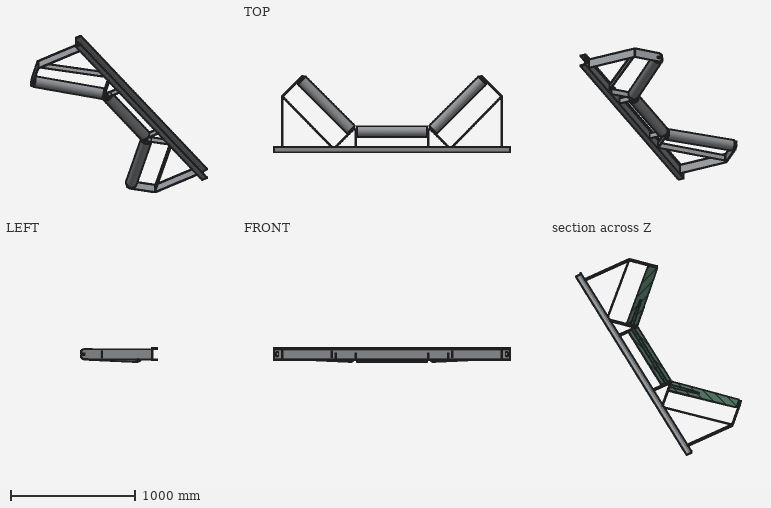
import cadquery as cq
import math

CHANNEL_LENGTH = 1900.0
CHANNEL_HEIGHT = 100.0
CHANNEL_WIDTH = 45.0
WEB_THICKNESS = 5.0
FLANGE_THICKNESS = 10.0
ROOT_RADIUS = 10.0
TIP_RADIUS = 4.0
MOUNT_SLOT_WIDTH = 17.0
MOUNT_SLOT_HEIGHT = 36.0
MOUNT_SLOT_INSET = 27.0

ROLLER_LENGTH = 570.0
ROLLER_DIAMETER = 90.0
ROLLER_CHAMFER = 5.0
SHAFT_DIAMETER = 17.0
MIDDLE_END_GAP = 4.0
SIDE_INNER_GAP = 4.0
FORWARD_TILT = 1.9
MIDDLE_AXIS_Y = 122.0
MIDDLE_AXIS_Z = -19.0
SIDE_OUTER_Y = 547.0

WIDE_BAR_THICKNESS = 8.0
WIDE_BAR_HEIGHT = 80.0
BEND_RADIUS = 10.0
TIP_CHAMFER_ALONG = 25.0
TIP_CHAMFER_Z = 17.0
OUTER_POST_X = -882.0
OUTER_POST_Y = 405.0
ARM_TIP_Y = 570.0

NARROW_BAR_THICKNESS = 5.0
NARROW_BAR_HEIGHT = 50.0
STRUT_FOOT_X = -483.0
INNER_PEAK_Y = 146.0
BRIDGE_DROP = 13.0

FOOT_Y = -WEB_THICKNESS / 2
INNER_POST_X = -(ROLLER_LENGTH / 2 + MIDDLE_END_GAP + NARROW_BAR_THICKNESS / 2)
INNER_PEAK_X = INNER_POST_X - BRIDGE_DROP
ARM_OFFSET = OUTER_POST_Y - OUTER_POST_X
LEG_OFFSET = INNER_PEAK_Y - INNER_PEAK_X
SIDE_SPAN = (ARM_OFFSET - LEG_OFFSET) / math.sqrt(2)

MIDDLE_SHAFT_LENGTH = ROLLER_LENGTH + 2 * (MIDDLE_END_GAP + NARROW_BAR_THICKNESS)
SIDE_SHAFT_LENGTH = SIDE_SPAN + (WIDE_BAR_THICKNESS + NARROW_BAR_THICKNESS) / 2

MIDDLE_AXIS = cq.Vector(1, 0, 0)
MIDDLE_START = cq.Vector(-MIDDLE_SHAFT_LENGTH / 2, MIDDLE_AXIS_Y, MIDDLE_AXIS_Z)
MIDDLE_ROLLER_INSET = MIDDLE_END_GAP + NARROW_BAR_THICKNESS

TILT = math.radians(FORWARD_TILT)
PLAN_STEP = math.cos(TILT) / math.sqrt(2)
SIDE_AXIS = cq.Vector(PLAN_STEP, -PLAN_STEP, -math.sin(TILT))
SIDE_ARM_POINT = cq.Vector(SIDE_OUTER_Y - ARM_OFFSET, SIDE_OUTER_Y, 0)
SIDE_START = SIDE_ARM_POINT - SIDE_AXIS * (WIDE_BAR_THICKNESS / 2)
SIDE_ROLLER_INSET = SIDE_SHAFT_LENGTH - ROLLER_LENGTH - SIDE_INNER_GAP - NARROW_BAR_THICKNESS


def mirrored(shape):
    """Copy of a left-hand shape on the right-hand side."""
    return shape.mirror("YZ")


def round_bar(start, axis, length, diameter):
    """Cylinder running from a point along an axis."""
    plane = cq.Plane(origin=start.toTuple(), xDir=(0, 0, 1), normal=axis.toTuple())
    return cq.Workplane(plane).circle(diameter / 2).extrude(length)


def flat_bar(path, thickness, height):
    """Upright flat bar with square ends, folded along a plan path and centred on Z = 0."""
    points = [cq.Vector(x, y, 0) for x, y in path]
    runs = [(end - start).normalized() for start, end in zip(points, points[1:])]
    normals = [cq.Vector(-run.y, run.x, 0) for run in runs]
    left_side = []
    right_side = []
    for point, before, after in zip(points, normals[:1] + normals, normals + normals[-1:]):
        mitre = (before + after) * (thickness / 2 / (1 + before.dot(after)))
        left_side.append((point + mitre).toTuple())
        right_side.append((point - mitre).toTuple())
    outline = cq.Workplane("XY").polyline(left_side + right_side[::-1]).close()
    return outline.extrude(height / 2, both=True)


def make_channel():
    inner_y = -WEB_THICKNESS
    inner_z = CHANNEL_HEIGHT / 2 - FLANGE_THICKNESS
    channel = (
        cq.Workplane("XY")
        .box(CHANNEL_LENGTH, CHANNEL_WIDTH, CHANNEL_HEIGHT)
        .translate((0, -CHANNEL_WIDTH / 2, 0))
    )
    hollow = (
        cq.Workplane("XY")
        .box(CHANNEL_LENGTH, CHANNEL_WIDTH, 2 * inner_z)
        .translate((0, inner_y - CHANNEL_WIDTH / 2, 0))
        .edges("|X and >Y")
        .fillet(ROOT_RADIUS)
    )
    channel = channel.cut(hollow)
    for z in (-inner_z, inner_z):
        tip = cq.selectors.NearestToPointSelector((0, -CHANNEL_WIDTH, z))
        channel = channel.edges(tip).fillet(TIP_RADIUS)
    slot_x = CHANNEL_LENGTH / 2 - MOUNT_SLOT_INSET
    slots = (
        cq.Workplane("XZ")
        .pushPoints([(-slot_x, 0), (slot_x, 0)])
        .slot2D(MOUNT_SLOT_HEIGHT, MOUNT_SLOT_WIDTH, 90)
        .extrude(WEB_THICKNESS)
    )
    return channel.cut(slots)


def make_outer_bracket():
    """Left post folded into a 45 degree arm with a chamfered slotted tip, and its strut."""
    bend = (OUTER_POST_X, OUTER_POST_Y)
    arm_rise = ARM_TIP_Y - OUTER_POST_Y
    tip = (OUTER_POST_X + arm_rise, ARM_TIP_Y)
    bracket = flat_bar([(OUTER_POST_X, FOOT_Y), bend, tip], WIDE_BAR_THICKNESS, WIDE_BAR_HEIGHT)
    for side, radius in ((1, BEND_RADIUS), (-1, BEND_RADIUS + WIDE_BAR_THICKNESS)):
        corner = cq.selectors.NearestToPointSelector((bend[0] + side * WIDE_BAR_THICKNESS / 2, bend[1], 0))
        bracket = bracket.edges("|Z").edges(corner).fillet(radius)

    half = WIDE_BAR_HEIGHT / 2
    tip_plane = cq.Plane(origin=(tip[0], tip[1], 0), xDir=(1, 1, 0), normal=(1, -1, 0))
    for side in (-1, 1):
        clipped_corner = (
            cq.Workplane(tip_plane)
            .polyline(
                [
                    (-TIP_CHAMFER_ALONG, side * half),
                    (0, side * half),
                    (0, side * (half - TIP_CHAMFER_Z)),
                ]
            )
            .close()
            .extrude(WIDE_BAR_THICKNESS, both=True)
        )
        bracket = bracket.cut(clipped_corner)

    seat_depth = (ARM_TIP_Y - SIDE_OUTER_Y) * math.sqrt(2)
    opening = (
        cq.Workplane(tip_plane)
        .center(-seat_depth / 2, 0)
        .rect(seat_depth, SHAFT_DIAMETER)
        .extrude(WIDE_BAR_THICKNESS, both=True)
    )
    strut = flat_bar([bend, (STRUT_FOOT_X, FOOT_Y)], NARROW_BAR_THICKNESS, NARROW_BAR_HEIGHT)
    return bracket.cut(opening).union(strut)


def make_inner_bracket():
    """Left folded bar: sloping leg, short bridge and upright post, level with the middle roller."""
    path = [
        (FOOT_Y - LEG_OFFSET, FOOT_Y),
        (INNER_PEAK_X, INNER_PEAK_Y),
        (INNER_POST_X, INNER_PEAK_Y - BRIDGE_DROP),
        (INNER_POST_X, FOOT_Y),
    ]
    bar = flat_bar(path, NARROW_BAR_THICKNESS, NARROW_BAR_HEIGHT)
    return bar.translate((0, 0, MIDDLE_AXIS_Z))


def make_frame(shafts):
    """Channel and brackets welded into one body, bored where the shafts sit."""
    frame = make_channel()
    for bracket in (make_outer_bracket(), make_inner_bracket()):
        frame = frame.union(bracket).union(mirrored(bracket))
    for shaft in shafts:
        frame = frame.cut(shaft)
    return frame


def make_roller(shaft_start, axis, inset, shaft):
    """Chamfered roller on a shaft, its end face set in from the shaft's start."""
    roller = round_bar(shaft_start + axis * inset, axis, ROLLER_LENGTH, ROLLER_DIAMETER)
    return roller.edges().chamfer(ROLLER_CHAMFER).cut(shaft)


middle_shaft = round_bar(MIDDLE_START, MIDDLE_AXIS, MIDDLE_SHAFT_LENGTH, SHAFT_DIAMETER)
side_shaft = round_bar(SIDE_START, SIDE_AXIS, SIDE_SHAFT_LENGTH, SHAFT_DIAMETER)
shafts = [middle_shaft, side_shaft, mirrored(side_shaft)]

middle_roller = make_roller(MIDDLE_START, MIDDLE_AXIS, MIDDLE_ROLLER_INSET, middle_shaft)
side_roller = make_roller(SIDE_START, SIDE_AXIS, SIDE_ROLLER_INSET, side_shaft)
rollers = [middle_roller, side_roller, mirrored(side_roller)]

frame = make_frame(shafts)

result = cq.Compound.makeCompound(
    [frame.val(), *[roller.val() for roller in rollers], *[shaft.val() for shaft in shafts]]
)